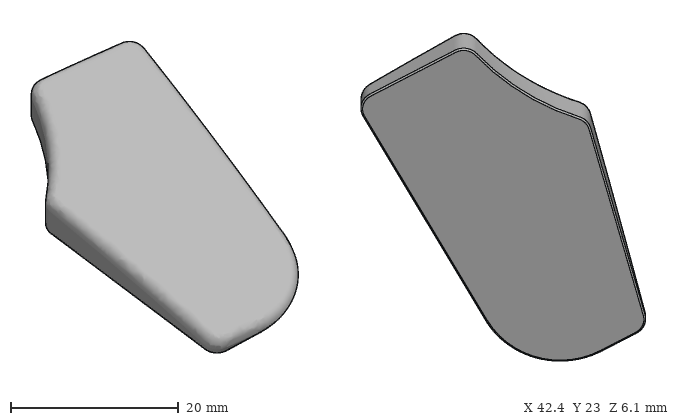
import cadquery as cq
import math

length = 42.4
depth = 23.05
edge_height = 6.25

corner_radius = 2.1
big_corner_radius = 10.15
right_corner_y = 6.5
tip_x = 15.5
tip_y = -0.2
concave_start_y = 7.6
concave_radius = 28.85

crown_radius = 203.5
crown_start_slope = 0.09
crown_span = 55.1

top_fillet = 1.5
bottom_chamfer = 0.2

chord_length = math.hypot(tip_x, tip_y - concave_start_y)
center_offset = math.sqrt(concave_radius**2 - (chord_length / 2) ** 2)
center_x = tip_x / 2 + center_offset * (tip_y - concave_start_y) / chord_length
center_y = (concave_start_y + tip_y) / 2 - center_offset * tip_x / chord_length


def make_plate():
    """Flat plate with the plan outline and rounded upright corners."""
    sharp = (
        cq.Workplane("XY")
        .moveTo(0, depth)
        .lineTo(length, depth)
        .lineTo(length, right_corner_y)
        .lineTo(tip_x, tip_y)
        .radiusArc((0, concave_start_y), -concave_radius)
        .close()
        .extrude(edge_height + 0.42)
    )
    big_corner = cq.selectors.NearestToPointSelector((length, depth, edge_height / 2))
    upright_edges = cq.selectors.ParallelDirSelector(cq.Vector(0, 0, 1))
    return (
        sharp.edges(upright_edges - big_corner)
        .fillet(corner_radius)
        .edges(big_corner)
        .fillet(big_corner_radius)
    )


def make_crown():
    """Body of revolution about the concave edge's axis, with an arched top."""
    start_angle = math.atan(crown_start_slope)
    arc_center_r = concave_radius - crown_radius * math.sin(start_angle)
    arc_center_z = edge_height - crown_radius * math.cos(start_angle)

    def crown_point(r):
        rise = math.sqrt(crown_radius**2 - (r - arc_center_r) ** 2)
        return (r, arc_center_z + rise)

    inner_r = concave_radius - corner_radius
    outer_r = concave_radius + crown_span
    middle_r = (inner_r + outer_r) / 2
    base_z = crown_point(outer_r)[1] - 0.42
    return (
        cq.Workplane("XZ")
        .moveTo(inner_r, base_z)
        .lineTo(*crown_point(inner_r))
        .threePointArc(crown_point(middle_r), crown_point(outer_r))
        .lineTo(outer_r, base_z)
        .close()
        .revolve(360, (0, 0, 0), (0, 1, 0))
        .rotate((0, 0, 0), (0, 0, 1), 180)
        .translate((center_x, center_y, 0))
    )


body = make_plate().intersect(make_crown())
body = body.faces("<Z").chamfer(bottom_chamfer)
top_face = cq.selectors.NearestToPointSelector((length / 2, depth / 2, edge_height))
result = body.faces(top_face).edges().fillet(top_fillet)